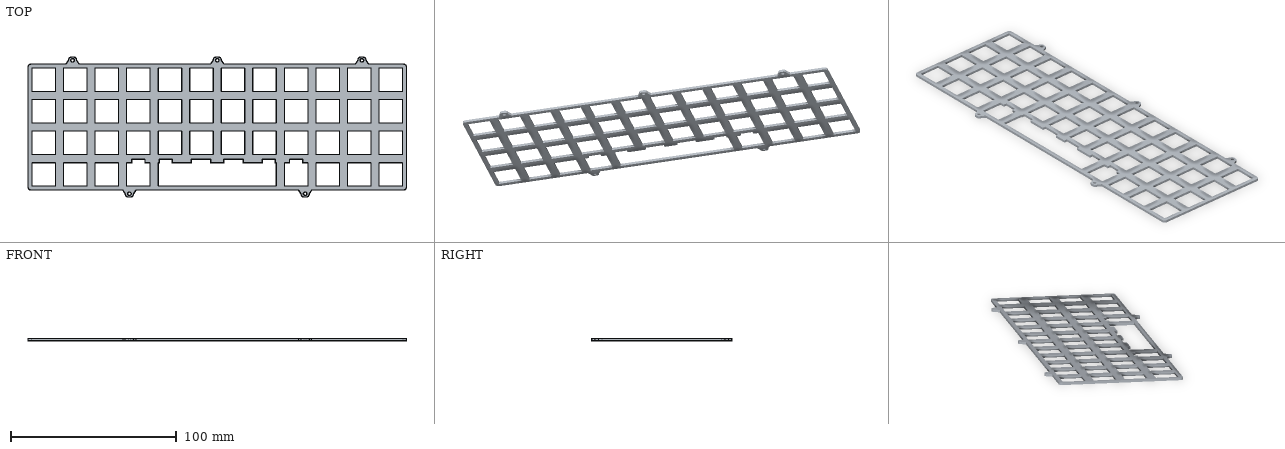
import cadquery as cq

plate_length = 228.5
plate_thickness = 1.5
rim = 2.5
corner_radius = 2.0

columns = 12
rows = 4
key_gap = 5.0
key_size = (plate_length - 2 * rim - (columns - 1) * key_gap) / columns
key_pitch = key_size + key_gap
plate_width = (rows - 1) * key_pitch + key_size + 2 * rim

space_bar_keys = 4
space_bar_length = (space_bar_keys - 1) * key_pitch + key_size
space_bar_columns = range((columns - space_bar_keys) // 2, (columns + space_bar_keys) // 2)

notch_depth = 2.0
notch_width = 7.8
side_notch_x = 2.5 * key_pitch
outer_notch_x = 31.0
inner_notch_width = 11.7
inner_notch_x = 9.8

total_width = 84.5
tab_reach = (total_width - plate_width) / 2
tab_hole_diameter = 2.0
tab_hole_to_tip = 2.01
tab_width = 5.0
tab_tip_radius = 1.8
tab_base_width = 8.0
tab_flare_height = 2.3
rear_tab_positions = (-87.3, 0, 87.3)
front_tab_positions = (-53.0, 53.0)


def column_x(column):
    return (column - (columns - 1) / 2) * key_pitch


def row_y(row):
    return (row - (rows - 1) / 2) * key_pitch


def opening(x, y, length, width):
    """Through-cutting block centred on (x, y)."""
    return cq.Workplane("XY").center(x, y).rect(length, width).extrude(plate_thickness)


def mounting_tab():
    """Tab on the rear edge at X = 0: rounded tip, straight flares down to the edge, screw hole."""
    edge_y = plate_width / 2
    tip_y = edge_y + tab_reach
    root_y = edge_y - rim / 2
    half_tab = tab_width / 2
    half_base = tab_base_width / 2
    flare_y = edge_y + tab_flare_height
    half_tip = half_tab - tab_tip_radius
    return (
        cq.Workplane("XY")
        .moveTo(-half_base, root_y)
        .lineTo(half_base, root_y)
        .lineTo(half_base, edge_y)
        .lineTo(half_tab, flare_y)
        .lineTo(half_tab, tip_y - tab_tip_radius)
        .radiusArc((half_tip, tip_y), -tab_tip_radius)
        .lineTo(-half_tip, tip_y)
        .radiusArc((-half_tab, tip_y - tab_tip_radius), -tab_tip_radius)
        .lineTo(-half_tab, flare_y)
        .lineTo(-half_base, edge_y)
        .close()
        .extrude(plate_thickness)
        .faces(">Z")
        .workplane(origin=(0, tip_y - tab_hole_to_tip, plate_thickness))
        .hole(tab_hole_diameter)
    )


result = (
    cq.Workplane("XY")
    .rect(plate_length, plate_width)
    .extrude(plate_thickness)
    .edges("|Z")
    .fillet(corner_radius)
)

rear_tab = mounting_tab()
front_tab = rear_tab.mirror("XZ")
for x in rear_tab_positions:
    result = result.union(rear_tab.translate((x, 0, 0)))
for x in front_tab_positions:
    result = result.union(front_tab.translate((x, 0, 0)))

for row in range(rows):
    for column in range(columns):
        if row == 0 and column in space_bar_columns:
            continue
        result = result.cut(opening(column_x(column), row_y(row), key_size, key_size))

result = result.cut(opening(0, row_y(0), space_bar_length, key_size))

notch_y = row_y(0) + key_size / 2
notches = (
    (side_notch_x, notch_width),
    (outer_notch_x, notch_width),
    (inner_notch_x, inner_notch_width),
)
for notch_x, width in notches:
    for side in (-1, 1):
        result = result.cut(opening(side * notch_x, notch_y, width, 2 * notch_depth))